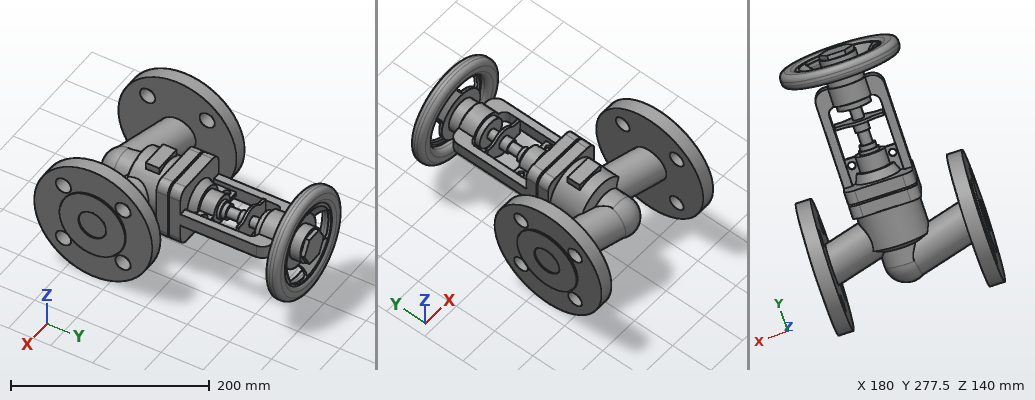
import cadquery as cq
import math


OVERALL_LENGTH = 277.5

FACE_TO_FACE = 180.0
FLANGE_DIAMETER = 140.0
FLANGE_RADIUS = FLANGE_DIAMETER / 2
FLANGE_THICKNESS = 15.8
RAISED_FACE_RADIUS = 38.8
RAISED_FACE_HEIGHT = 2.0
BORE_RADIUS = 16.5
BORE_DEPTH = 1.5
BOLT_CIRCLE_RADIUS = 50.0
BOLT_HOLE_DIAMETER = 18.0
BOLT_COUNT = 4
FIRST_BOLT_ANGLE = 45.0

PIPE_RADIUS = 21.0
PIPE_TILT = 15.0

NECK_RADIUS = 22.8
NECK_BOTTOM = -18.5
NECK_TOP = -1.7
BODY_RADIUS = 33.5
BODY_BOTTOM = 3.3
BODY_TOP = 42.7
NAMEPLATE_LENGTH = 33.3
NAMEPLATE_BOTTOM = 17.8
NAMEPLATE_TOP = 33.9
NAMEPLATE_Z = 37.2

JOINT_WIDTH = 72.7
JOINT_CORNER_RADIUS = 11.0
JOINT_PLATE_THICKNESS = 13.3
GASKET_RADIUS = 28.3
GASKET_THICKNESS = 2.0
BONNET_PLATE_BOTTOM = BODY_TOP + JOINT_PLATE_THICKNESS + GASKET_THICKNESS
BONNET_PLATE_TOP = BONNET_PLATE_BOTTOM + JOINT_PLATE_THICKNESS

BONNET_CONE_BASE_RADIUS = 24.0
BONNET_CONE_TOP_RADIUS = 19.7
BONNET_CONE_TOP = 81.0
BONNET_RADIUS = 15.8
BONNET_TOP = 98.0
GLAND_FLANGE_RADIUS = 10.5
GLAND_FLANGE_TOP = 101.5
GLAND_RADIUS = 8.5
GLAND_TOP = 106.8

SPINDLE_RADIUS = 6.0
GUIDE_NUT_RADIUS = 7.8
GUIDE_NUT_BOTTOM = 121.0
GUIDE_BOTTOM = 130.7
GUIDE_THICKNESS = 3.0
GUIDE_LENGTH = 51.3
GUIDE_END_WIDTH = 20.5
GUIDE_CENTRE_RADIUS = 17.5
GUIDE_BLEND_RADIUS = 14.0

YOKE_TOP = 173.5
YOKE_THICKNESS = 15.3
YOKE_CORNER_RADIUS = 12.5
WINDOW_WIDTH = 54.5
WINDOW_TOP = 154.0
WINDOW_CORNER_RADIUS = 8.3
WEB_THICKNESS = 4.0
WEB_HOLE_DIAMETER = 7.5
WEB_HOLE_X = 21.6
WEB_HOLE_Y = 90.2
YOKE_BOSS_RADIUS = 21.0
YOKE_COLLAR_RADIUS = 17.8
YOKE_COLLAR_BOTTOM = 147.5

WHEEL_RADIUS = 62.7
RIM_WIDTH = 19.0
RIM_BOTTOM = 186.8
RIM_TOP = 202.5
RIM_ROUNDING = 6.0
HUB_RADIUS = 19.5
DISH_FLOOR_RADIUS = 30.2
DISH_RIM_RADIUS = 41.5
DISH_RISE = 10.3
DISH_THICKNESS = 3.3
DISH_OVERLAP = 5.5
OPENING_COUNT = 3
OPENING_ANGLE = 60.0
OPENING_INNER_RADIUS = 30.5
OPENING_OUTER_RADIUS = 43.0
OPENING_CORNER_RADIUS = 5.5
NUT_TOP = OVERALL_LENGTH - FLANGE_RADIUS
NUT_ACROSS_CORNERS = 37.0
NUT_SIDES = 6


def cylinder_on_spindle(radius, bottom, top):
    """Cylinder around the Y axis between two heights."""
    return cq.Workplane("XZ", origin=(0, bottom, 0)).circle(radius).extrude(bottom - top)


def turned_on_spindle(profile):
    """Solid turned around the Y axis from (radius, height) points."""
    return cq.Workplane("XY").polyline(profile).close().revolve(360, (0, 0, 0), (0, 1, 0))


def block(length, bottom, top, width):
    """Box centred on the spindle in X and Z, between two heights."""
    return cq.Workplane("XY").box(length, top - bottom, width).translate((0, (bottom + top) / 2, 0))


def pipe_flange(side):
    """Flange with raised face; side is -1 for the -X end and 1 for the +X end."""
    outer_face = FACE_TO_FACE / 2
    flange_face = outer_face - RAISED_FACE_HEIGHT
    plane = cq.Plane(origin=(0, 0, 0), xDir=(0, 1, 0), normal=(side, 0, 0))
    disc = (
        cq.Workplane(plane)
        .workplane(offset=flange_face - FLANGE_THICKNESS)
        .circle(FLANGE_RADIUS)
        .extrude(FLANGE_THICKNESS)
        .faces(cq.selectors.DirectionMinMaxSelector(cq.Vector(side, 0, 0)))
        .workplane(origin=(0, 0, 0))
        .polarArray(BOLT_CIRCLE_RADIUS, FIRST_BOLT_ANGLE, 360, BOLT_COUNT)
        .circle(BOLT_HOLE_DIAMETER / 2)
        .cutThruAll()
    )
    raised_face = cq.Workplane(plane).workplane(offset=flange_face).circle(RAISED_FACE_RADIUS)
    bore = cq.Workplane(plane).workplane(offset=outer_face - BORE_DEPTH).circle(BORE_RADIUS)
    return disc.union(raised_face.extrude(RAISED_FACE_HEIGHT)).cut(bore.extrude(BORE_DEPTH))


def tilted_pipe(side):
    """Pipe from the middle of a flange to the spindle axis; both pipes fall towards +X."""
    inner_face = FACE_TO_FACE / 2 - RAISED_FACE_HEIGHT - FLANGE_THICKNESS
    start_x = inner_face + FLANGE_THICKNESS / 2
    slope = math.tan(math.radians(PIPE_TILT))
    start = (side * start_x, -side * slope * (start_x - inner_face), 0)
    length = start_x / math.cos(math.radians(PIPE_TILT))
    plane = cq.Plane(origin=start, xDir=(0, 0, 1), normal=(-side, side * slope, 0))
    return cq.Workplane(plane).circle(PIPE_RADIUS).extrude(length)


def valve_body():
    """Body with a hemispherical lower end and a nameplate on its +Z side."""
    shell = (
        cq.Workplane("XY")
        .moveTo(0, NECK_BOTTOM - NECK_RADIUS)
        .radiusArc((NECK_RADIUS, NECK_BOTTOM), -NECK_RADIUS)
        .lineTo(NECK_RADIUS, NECK_TOP)
        .lineTo(BODY_RADIUS, BODY_BOTTOM)
        .lineTo(BODY_RADIUS, BODY_TOP)
        .lineTo(0, BODY_TOP)
        .close()
        .revolve(360, (0, 0, 0), (0, 1, 0))
    )
    nameplate = cq.Workplane("XY").box(
        NAMEPLATE_LENGTH, NAMEPLATE_TOP - NAMEPLATE_BOTTOM, NAMEPLATE_Z, centered=(True, False, False)
    )
    return shell.union(nameplate.translate((0, NAMEPLATE_BOTTOM, 0)))


def joint_plate(bottom):
    """Square joint plate with rounded corners."""
    plate = block(JOINT_WIDTH, bottom, bottom + JOINT_PLATE_THICKNESS, JOINT_WIDTH)
    return plate.edges("|Y").fillet(JOINT_CORNER_RADIUS)


def bonnet():
    """Joint plates, gasket, bonnet and gland."""
    gasket = cylinder_on_spindle(GASKET_RADIUS, BODY_TOP, BONNET_PLATE_TOP)
    turned = turned_on_spindle(
        [
            (0, BONNET_PLATE_TOP),
            (BONNET_CONE_BASE_RADIUS, BONNET_PLATE_TOP),
            (BONNET_CONE_TOP_RADIUS, BONNET_CONE_TOP),
            (BONNET_RADIUS, BONNET_CONE_TOP),
            (BONNET_RADIUS, BONNET_TOP),
            (GLAND_FLANGE_RADIUS, BONNET_TOP),
            (GLAND_FLANGE_RADIUS, GLAND_FLANGE_TOP),
            (GLAND_RADIUS, GLAND_FLANGE_TOP),
            (GLAND_RADIUS, GLAND_TOP),
            (0, GLAND_TOP),
        ]
    )
    return joint_plate(BODY_TOP).union(gasket).union(joint_plate(BONNET_PLATE_BOTTOM)).union(turned)


def spindle():
    """Spindle with the guide nut and the guide that slides between the yoke legs."""
    guide_top = GUIDE_BOTTOM + GUIDE_THICKNESS
    rod = cylinder_on_spindle(SPINDLE_RADIUS, BONNET_TOP, YOKE_TOP)
    nut = cylinder_on_spindle(GUIDE_NUT_RADIUS, GUIDE_NUT_BOTTOM, GUIDE_BOTTOM)
    bar = block(GUIDE_LENGTH, GUIDE_BOTTOM, guide_top, GUIDE_END_WIDTH)
    guide = bar.union(cylinder_on_spindle(GUIDE_CENTRE_RADIUS, GUIDE_BOTTOM, guide_top))
    inner_region = cq.selectors.BoxSelector(
        (-GUIDE_CENTRE_RADIUS, GUIDE_BOTTOM, -GUIDE_END_WIDTH),
        (GUIDE_CENTRE_RADIUS, guide_top, GUIDE_END_WIDTH),
    )
    inside_corners = guide.edges("|Y").edges(inner_region)
    return rod.union(nut).union(inside_corners.fillet(GUIDE_BLEND_RADIUS))


def yoke():
    """Arch over the bonnet, with a drilled web at its foot and a spindle bush at its top."""
    frame = block(JOINT_WIDTH, BONNET_PLATE_TOP, YOKE_TOP, YOKE_THICKNESS)
    frame = frame.edges("|Z and >Y").fillet(YOKE_CORNER_RADIUS)
    window = block(WINDOW_WIDTH, BONNET_PLATE_TOP, WINDOW_TOP, YOKE_THICKNESS)
    window = window.edges("|Z and >Y").fillet(WINDOW_CORNER_RADIUS)
    web_holes = (
        cq.Workplane("XY")
        .pushPoints([(-WEB_HOLE_X, WEB_HOLE_Y), (WEB_HOLE_X, WEB_HOLE_Y)])
        .circle(WEB_HOLE_DIAMETER / 2)
        .extrude(WEB_THICKNESS, both=True)
    )
    web = block(WINDOW_WIDTH, BONNET_PLATE_TOP, BONNET_TOP, WEB_THICKNESS).cut(web_holes)
    boss = cylinder_on_spindle(YOKE_BOSS_RADIUS, WINDOW_TOP, YOKE_TOP)
    collar = cylinder_on_spindle(YOKE_COLLAR_RADIUS, YOKE_COLLAR_BOTTOM, WINDOW_TOP)
    return frame.cut(window).union(web).union(boss).union(collar)


def wheel_opening(centre_angle):
    """Rounded sector cut between two spokes, at an angle measured from +X towards +Z."""

    def at(radius, offset):
        angle = math.radians(centre_angle + offset)
        return (radius * math.cos(angle), radius * math.sin(angle))

    half = OPENING_ANGLE / 2
    sector = (
        cq.Workplane("XZ", origin=(0, RIM_BOTTOM, 0))
        .moveTo(*at(OPENING_INNER_RADIUS, -half))
        .lineTo(*at(OPENING_OUTER_RADIUS, -half))
        .threePointArc(at(OPENING_OUTER_RADIUS, 0), at(OPENING_OUTER_RADIUS, half))
        .lineTo(*at(OPENING_INNER_RADIUS, half))
        .threePointArc(at(OPENING_INNER_RADIUS, 0), at(OPENING_INNER_RADIUS, -half))
        .close()
        .extrude(RIM_BOTTOM - RIM_TOP)
    )
    return sector.edges("|Y").fillet(OPENING_CORNER_RADIUS)


def handwheel():
    """Rim on a dished, spoked web, with the hub and its hexagon nut."""
    dish_rim_bottom = RIM_BOTTOM + DISH_RISE
    dish = turned_on_spindle(
        [
            (0, RIM_BOTTOM),
            (DISH_FLOOR_RADIUS, RIM_BOTTOM),
            (DISH_RIM_RADIUS, dish_rim_bottom),
            (DISH_RIM_RADIUS + DISH_OVERLAP, dish_rim_bottom),
            (DISH_RIM_RADIUS + DISH_OVERLAP, dish_rim_bottom + DISH_THICKNESS),
            (DISH_RIM_RADIUS, dish_rim_bottom + DISH_THICKNESS),
            (DISH_FLOOR_RADIUS, RIM_BOTTOM + DISH_THICKNESS),
            (0, RIM_BOTTOM + DISH_THICKNESS),
        ]
    )
    spacing = 360 / OPENING_COUNT
    for index in range(OPENING_COUNT):
        dish = dish.cut(wheel_opening(OPENING_ANGLE + index * spacing))
    eye = cylinder_on_spindle(WHEEL_RADIUS - RIM_WIDTH, RIM_BOTTOM, RIM_TOP)
    rim = cylinder_on_spindle(WHEEL_RADIUS, RIM_BOTTOM, RIM_TOP).cut(eye)
    rim = rim.edges("%CIRCLE").fillet(RIM_ROUNDING)
    hub = cylinder_on_spindle(HUB_RADIUS, YOKE_TOP, RIM_TOP)
    nut = cq.Workplane("XZ", origin=(0, RIM_TOP, 0)).polygon(NUT_SIDES, NUT_ACROSS_CORNERS)
    return rim.union(dish).union(hub).union(nut.extrude(RIM_TOP - NUT_TOP))


result = valve_body()
for end in (-1, 1):
    result = result.union(tilted_pipe(end)).union(pipe_flange(end))
result = result.union(bonnet()).union(yoke()).union(spindle()).union(handwheel())